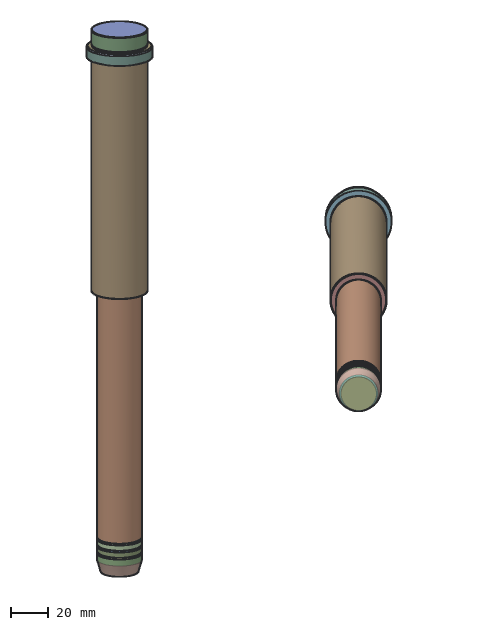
import cadquery as cq

total_length = 300.0
shoulder_z = 155.0
collar_bottom_z = 285.0
collar_top_z = 291.0
nose_length = 7.0

shank_diameter = 30.0
guide_diameter = 24.0
collar_diameter = 35.0
tip_diameter = 20.0

collar_chamfer = 0.75
shank_chamfer = 0.45
tip_fillet = 1.0

groove_count = 3
groove_pitch = 4.0
groove_width = 1.05
groove_depth = 0.3
relief_width = 1.0
lowest_groove_z = 10.8


def cylinder(diameter, bottom_z, top_z):
    """Upright cylinder on the pillar axis."""
    return cq.Workplane("XY", origin=(0, 0, bottom_z)).circle(diameter / 2).extrude(top_z - bottom_z)


def nose():
    """Tapered lead-in with a rounded tip edge."""
    cone = cq.Workplane("XY").circle(tip_diameter / 2)
    cone = cone.workplane(offset=nose_length).circle(guide_diameter / 2).loft(ruled=True)
    return cone.faces("<Z").edges().fillet(tip_fillet)


def groove(diameter, middle_z, width):
    """Ring that cuts one shallow groove into a cylinder of the given diameter."""
    bottom_z = middle_z - width / 2
    top_z = middle_z + width / 2
    core = cylinder(diameter - 2 * groove_depth, bottom_z, top_z)
    return cylinder(collar_diameter, bottom_z, top_z).cut(core)


guide = cylinder(guide_diameter, nose_length, shoulder_z).union(nose())
for index in range(groove_count):
    guide = guide.cut(groove(guide_diameter, lowest_groove_z + index * groove_pitch, groove_width))

shank = cylinder(shank_diameter, shoulder_z, total_length)
shank = shank.faces("<Z or >Z").edges().chamfer(shank_chamfer)

collar = cylinder(collar_diameter, collar_bottom_z, collar_top_z)
collar = collar.faces(">Z").edges().chamfer(collar_chamfer)

guide = guide.cut(groove(guide_diameter, shoulder_z - relief_width / 2, relief_width))
for middle_z in (collar_bottom_z - relief_width / 2, collar_top_z + relief_width / 2):
    shank = shank.cut(groove(shank_diameter, middle_z, relief_width))

result = guide.union(shank).union(collar)